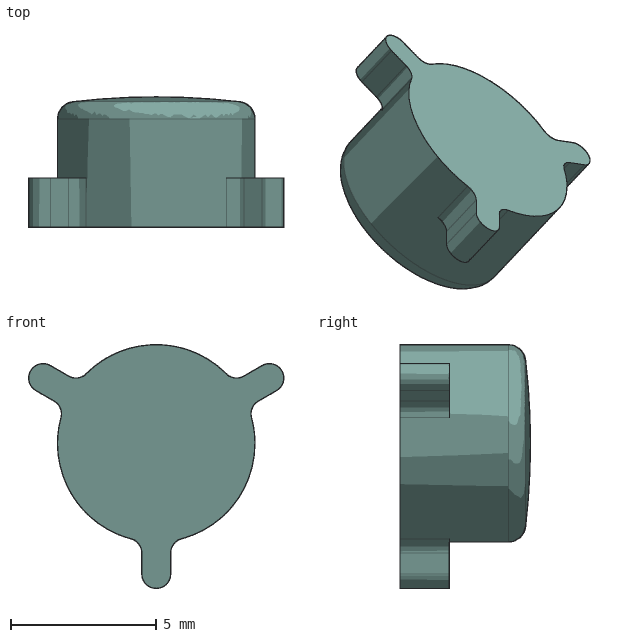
import cadquery as cq
import math

body_radius = 3.4
body_height = 4.5
dome_radius = 24.61
rim_fillet = 0.6

lug_count = 3
lug_width = 1.0
overall_width = 8.79
lug_thickness = 1.705
lug_root_fillet = 0.5

lug_tip_radius = lug_width / 2
upper_lug_slope = math.radians(360 / lug_count - 90)
lug_tip_center = (overall_width / 2 - lug_tip_radius) / math.cos(upper_lug_slope)
lug_reach = lug_tip_center + lug_tip_radius


def dome_height_at(radius):
    """Height of the domed face at a distance from the axis."""
    dome_center = body_height - dome_radius
    return dome_center + math.sqrt(dome_radius**2 - radius**2)


def make_body():
    """Solid of revolution with a shallow spherical dome and a rounded rim."""
    half_radius = body_radius / 2
    return (
        cq.Workplane("XY")
        .lineTo(body_radius, 0)
        .lineTo(body_radius, dome_height_at(body_radius))
        .threePointArc((half_radius, dome_height_at(half_radius)), (0, body_height))
        .close()
        .revolve(360, (0, 0), (0, 1))
        .faces(">Y")
        .edges("%CIRCLE")
        .fillet(rim_fillet)
    )


def root_fillet_points():
    """Ends and middle of the root fillet on the +X flank of a lug that points toward -Z.

    The fillet circle touches the flank of the lug and the body circle from outside.
    """
    center_x = lug_tip_radius + lug_root_fillet
    center_distance = body_radius + lug_root_fillet
    center_z = -math.sqrt(center_distance**2 - center_x**2)
    on_flank = (lug_tip_radius, center_z)
    touch_ratio = body_radius / center_distance
    on_body = (center_x * touch_ratio, center_z * touch_ratio)

    body_angle = math.atan2(-center_z, -center_x)
    middle_angle = (body_angle + math.pi) / 2
    middle = (
        center_x + lug_root_fillet * math.cos(middle_angle),
        center_z + lug_root_fillet * math.sin(middle_angle),
    )
    return on_flank, middle, on_body


def mirrored(point):
    return (-point[0], point[1])


def make_lug():
    """Lug pointing toward -Z, with its root fillets, running inward to the body axis."""
    on_flank, middle, on_body = root_fillet_points()
    return (
        cq.Workplane("XZ")
        .moveTo(0, 0)
        .lineTo(*on_body)
        .threePointArc(middle, on_flank)
        .lineTo(lug_tip_radius, -lug_tip_center)
        .threePointArc((0, -lug_reach), (-lug_tip_radius, -lug_tip_center))
        .lineTo(*mirrored(on_flank))
        .threePointArc(mirrored(middle), mirrored(on_body))
        .close()
        .extrude(-lug_thickness)
    )


result = make_body()
lug = make_lug()
for index in range(lug_count):
    angle = index * 360 / lug_count
    result = result.union(lug.rotate((0, 0, 0), (0, 1, 0), angle))
result = result.clean()